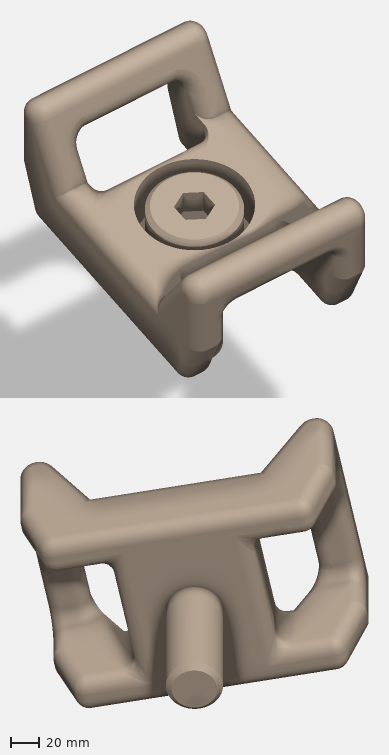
import cadquery as cq
import math

LENGTH = 224.0
WIDTH = 148.0
TOP_Z = 110.2
FLOOR_Z = 54.9
KNEE_Z = 46.8
BASE_HALF = 95.0
INNER_SLOPE = 30.0
TIP_RADIUS = 13.0
EDGE_RADIUS = 10.0

WINDOW_WIDTH = 94.5
WINDOW_TOP_Z = 79.7
WINDOW_BACK = 50.5
WINDOW_OVERSHOOT = 11.2

SHANK_DIAMETER = 40.0
HEAD_DIAMETER = 70.0
HEAD_HEIGHT = 40.0
HEAD_DEPTH = 1.3
HEAD_CHAMFER = 3.5
BOLT_END_Z = -94.8
SHANK_CHAMFER = 4.0
HEX_FLATS = 25.0
HEX_DEPTH = 20.0
RECESS_DIAMETER = 85.1

HALF_LENGTH = LENGTH / 2
HALF_WINDOW = WINDOW_WIDTH / 2
HEAD_TOP_Z = FLOOR_Z - HEAD_DEPTH
HEAD_SEAT_Z = HEAD_TOP_Z - HEAD_HEIGHT
slope_angle = math.radians(INNER_SLOPE)
tip_x = HALF_LENGTH - TIP_RADIUS
tip_z = TOP_Z - TIP_RADIUS
slope_top_x = tip_x - TIP_RADIUS * math.cos(slope_angle)
slope_top_z = tip_z + TIP_RADIUS * math.sin(slope_angle)
floor_half = slope_top_x - (slope_top_z - FLOOR_Z) * math.tan(slope_angle)
slope_x_at_bar = floor_half + (WINDOW_TOP_Z - FLOOR_Z) * math.tan(slope_angle)

LEFT = -1
RIGHT = 1
NEAR = 0.11


def edges_in(body, start, end):
    """Edges whose centres lie in the box between two corners, grown slightly."""
    low = [min(a, b) - NEAR for a, b in zip(start, end)]
    high = [max(a, b) + NEAR for a, b in zip(start, end)]
    return body.edges(cq.selectors.BoxSelector(low, high))


def frame_blank():
    """Cradle outline extruded across the width, rounded along both side faces."""
    outline = (
        cq.Workplane("XZ", origin=(0, WIDTH / 2, 0))
        .moveTo(-floor_half, FLOOR_Z)
        .lineTo(-slope_top_x, slope_top_z)
        .threePointArc((-tip_x, TOP_Z), (-HALF_LENGTH, tip_z))
        .lineTo(-HALF_LENGTH, KNEE_Z)
        .lineTo(-BASE_HALF, 0)
        .lineTo(BASE_HALF, 0)
        .lineTo(HALF_LENGTH, KNEE_Z)
        .lineTo(HALF_LENGTH, tip_z)
        .threePointArc((tip_x, TOP_Z), (slope_top_x, slope_top_z))
        .lineTo(floor_half, FLOOR_Z)
        .close()
    )
    blank = outline.extrude(WIDTH)
    blank = edges_in(blank, (-BASE_HALF, 0, 0), (BASE_HALF, 0, 0)).edges("|Y").fillet(EDGE_RADIUS)
    return blank.faces("<Y or >Y").edges().fillet(EDGE_RADIUS)


def cut_window(body, side):
    length = HALF_LENGTH - WINDOW_BACK + WINDOW_OVERSHOOT
    height = WINDOW_TOP_Z + WINDOW_OVERSHOOT
    block = cq.Workplane("XY").box(length, WINDOW_WIDTH, height)
    return body.cut(
        block.translate((side * (WINDOW_BACK + length / 2), 0, WINDOW_TOP_Z - height / 2))
    )


def round_crossbar_inside(body, side):
    """Lower inside edge of the crossbar."""
    bar = (side * slope_x_at_bar, 0, WINDOW_TOP_Z)
    return edges_in(body, bar, bar).fillet(EDGE_RADIUS)


def round_window_top_corners(body, side):
    """Two upper corners of the window, along its length."""
    start = (side * floor_half, -HALF_WINDOW, WINDOW_TOP_Z)
    end = (side * HALF_LENGTH, HALF_WINDOW, WINDOW_TOP_Z)
    return edges_in(body, start, end).edges("|X").fillet(EDGE_RADIUS)


def round_window_outside(body, side):
    """Window rim on the end face, carried round the knees and along the underside."""
    rim = edges_in(
        body,
        (side * HALF_LENGTH, -HALF_WINDOW, KNEE_Z),
        (side * HALF_LENGTH, HALF_WINDOW, WINDOW_TOP_Z),
    )
    below_knee = edges_in(
        body,
        (side * WINDOW_BACK, -HALF_WINDOW, 0),
        (side * (HALF_LENGTH + BASE_HALF) / 2, HALF_WINDOW, KNEE_Z / 2 + EDGE_RADIUS),
    )
    return rim.add(below_knee.edges("not |Z")).fillet(EDGE_RADIUS)


def round_left_inside(body):
    """Window rim on the left inner slope, the front floor edge and the floor edge over the back wall."""
    slope_rim = edges_in(
        body,
        (-floor_half, -HALF_WINDOW, FLOOR_Z),
        (-slope_x_at_bar, HALF_WINDOW, WINDOW_TOP_Z),
    ).edges("not |X")
    front_edge = edges_in(
        body,
        (-WINDOW_BACK, -HALF_WINDOW, FLOOR_Z),
        (-floor_half, -HALF_WINDOW, FLOOR_Z),
    ).edges("|X")
    return slope_rim.add(front_edge).add(floor_edge(body, LEFT)).fillet(EDGE_RADIUS)


def floor_edge(body, side):
    """Floor edge over the window's back wall."""
    middle = (side * WINDOW_BACK, 0, FLOOR_Z)
    return edges_in(body, middle, middle)


def round_back_corner(body, side, y):
    """Upright corner between the window's back wall and the side wall at y."""
    start = (side * WINDOW_BACK, y, 0)
    end = (side * WINDOW_BACK, y, FLOOR_Z)
    return edges_in(body, start, end).edges("|Z").fillet(EDGE_RADIUS)


def cylinder(diameter, bottom_z, top_z):
    return cq.Workplane("XY").workplane(offset=bottom_z).circle(diameter / 2).extrude(top_z - bottom_z)


def cut_bolt_seat(body):
    """Recess for the bolt head and the hole for its shank."""
    recess = cylinder(RECESS_DIAMETER, HEAD_SEAT_Z, FLOOR_Z)
    shank_hole = cylinder(SHANK_DIAMETER, 0, HEAD_SEAT_Z)
    return body.cut(recess.union(shank_hole))


def make_frame():
    """Cradle with a window through each end and a seat for the bolt."""
    body = frame_blank()
    for side in (LEFT, RIGHT):
        body = cut_window(body, side)

    body = round_crossbar_inside(body, RIGHT)
    for side in (LEFT, RIGHT):
        body = round_window_top_corners(body, side)
        body = round_window_outside(body, side)

    body = round_left_inside(body)
    for y in (-HALF_WINDOW, HALF_WINDOW):
        body = round_back_corner(body, LEFT, y)

    body = cut_bolt_seat(body)
    body = floor_edge(body, RIGHT).fillet(EDGE_RADIUS)
    for y in (HALF_WINDOW, -HALF_WINDOW):
        body = round_back_corner(body, RIGHT, y)
    return body


def make_bolt():
    """Socket-head bolt standing on the floor of the recess."""
    head = cylinder(HEAD_DIAMETER, HEAD_SEAT_Z, HEAD_TOP_Z).faces(">Z").chamfer(HEAD_CHAMFER)
    shank = cylinder(SHANK_DIAMETER, BOLT_END_Z, HEAD_SEAT_Z).faces("<Z").chamfer(SHANK_CHAMFER)
    hex_corners = HEX_FLATS / math.cos(math.pi / 6)
    socket = (
        cq.Workplane("XY")
        .workplane(offset=HEAD_TOP_Z - HEX_DEPTH)
        .polygon(6, hex_corners)
        .extrude(HEX_DEPTH)
    )
    return head.union(shank).cut(socket)


frame = make_frame()
bolt = make_bolt()

result = cq.Compound.makeCompound([*frame.solids().vals(), *bolt.solids().vals()])